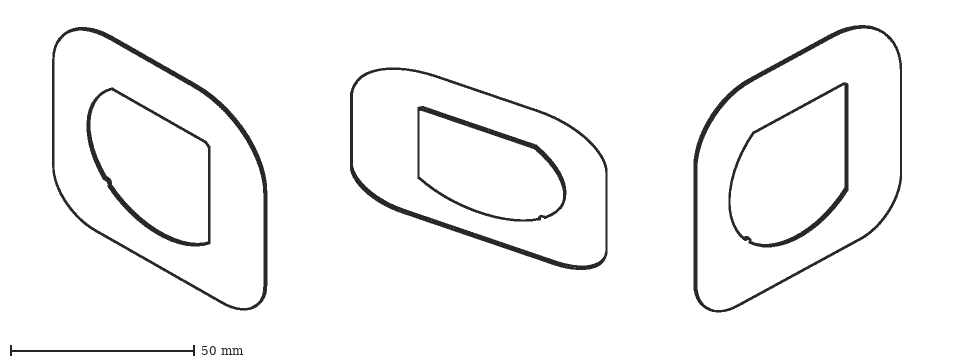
import cadquery as cq

side = 75.0
thickness = 0.8
top_left_radius = 20.0
top_right_radius = 25.0
bottom_radius = 15.0

window_radius = 25.35
top_flat_height = 19.1
right_flat_offset = 17.85

key_radius = 1.3
key_x = -19.0
key_z = -17.5


def cylinder(radius, x=0, z=0):
    """Disc of plate thickness with its axis along Y."""
    return (
        cq.Workplane("XZ")
        .center(x, z)
        .circle(radius)
        .extrude(thickness / 2, both=True)
    )


def make_plate():
    """Square plate with differently rounded corners."""
    plate = cq.Workplane("XY").box(side, thickness, side)
    plate = plate.edges("(|Y and <X) and >Z").fillet(top_left_radius)
    plate = plate.edges("(|Y and >X) and >Z").fillet(top_right_radius)
    return plate.edges("|Y and <Z").fillet(bottom_radius)


def make_window():
    """Cutter: the circle trimmed by both flats, less the key."""
    limits = cq.Workplane("XY").box(
        window_radius + right_flat_offset,
        thickness,
        window_radius + top_flat_height,
    )
    limits = limits.translate((
        (right_flat_offset - window_radius) / 2,
        0,
        (top_flat_height - window_radius) / 2,
    ))
    key = cylinder(key_radius, key_x, key_z)
    return cylinder(window_radius).intersect(limits).cut(key)


result = make_plate().cut(make_window())